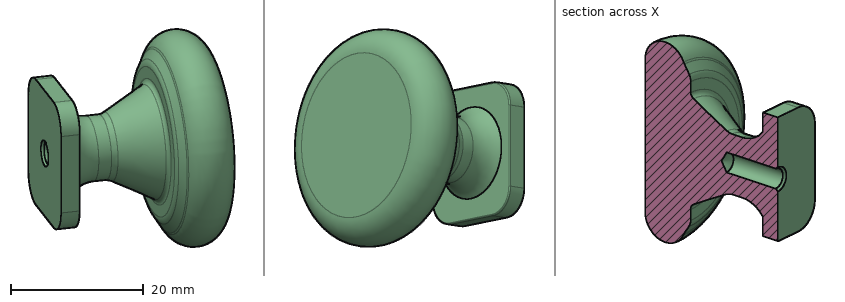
import cadquery as cq
import math

HEIGHT = 26.0

FOOT_WIDTH = 17.6
FOOT_LENGTH = 20.4
FOOT_THICKNESS = 3.0
FOOT_CORNER_RADIUS = 4.0
FOOT_EDGE_RADIUS = 0.2

NECK_RADIUS = 10.0 / 2
FLARE_HEIGHT = 4.0
FLARE_RADIUS = NECK_RADIUS
CONE_START = 9.5
CONE_TOP_RADIUS = 9.0
CONE_START_FILLET = 2.0
CONE_TOP_FILLET = 1.0

HEAD_RADIUS = 16.5
HEAD_BACK = 17.0
BACK_RADIUS = 12.0
RIM_RADIUS = 4.0
BEVEL_ANGLE = math.radians(33)
BEVEL_EDGE_FILLET = 2.0
BEVEL_RIM_FILLET = 2.5

HOLE_DIAMETER = 3.23
HOLE_MOUTH_DIAMETER = 4.0
HOLE_DEPTH = 10.0
HOLE_TIP_ANGLE = math.radians(118)

rim_center_radius = HEAD_RADIUS - RIM_RADIUS
rim_center_y = HEIGHT - RIM_RADIUS


def bevel_rim_point():
    """Point (radius, y) where the bevel line runs into the round rim."""
    across = rim_center_radius - BACK_RADIUS
    up = rim_center_y - HEAD_BACK
    line_distance = up * math.cos(BEVEL_ANGLE) - across * math.sin(BEVEL_ANGLE)
    angle = BEVEL_ANGLE - math.acos(line_distance / RIM_RADIUS)
    return (
        rim_center_radius + RIM_RADIUS * math.sin(angle),
        rim_center_y - RIM_RADIUS * math.cos(angle),
    )


def fillet_ring(body, ring_radius, fillet_radius, y):
    """Fillet the circular edge of the given radius at height y."""
    rings = [
        edge
        for edge in body.edges("%CIRCLE").vals()
        if math.isclose(edge.radius(), ring_radius, abs_tol=0.003)
        and math.isclose(edge.Center().y, y, abs_tol=0.003)
    ]
    return body.newObject(rings).fillet(fillet_radius)


def make_turned_body():
    flare_top = FOOT_THICKNESS + FLARE_HEIGHT
    flare_angle = math.asin(FLARE_HEIGHT / FLARE_RADIUS)

    def flare_point(angle):
        return (
            NECK_RADIUS + FLARE_RADIUS * (1 - math.cos(angle)),
            flare_top - FLARE_RADIUS * math.sin(angle),
        )

    bevel_end = bevel_rim_point()
    body = (
        cq.Workplane("XY")
        .moveTo(0, FOOT_THICKNESS)
        .lineTo(*flare_point(flare_angle))
        .threePointArc(flare_point(flare_angle / 2), (NECK_RADIUS, flare_top))
        .lineTo(NECK_RADIUS, CONE_START)
        .lineTo(CONE_TOP_RADIUS, HEAD_BACK)
        .lineTo(BACK_RADIUS, HEAD_BACK)
        .lineTo(*bevel_end)
        .threePointArc((HEAD_RADIUS, rim_center_y), (rim_center_radius, HEIGHT))
        .lineTo(0, HEIGHT)
        .close()
        .revolve(360, (0, 0), (0, 1))
    )
    body = fillet_ring(body, NECK_RADIUS, CONE_START_FILLET, CONE_START)
    body = fillet_ring(body, CONE_TOP_RADIUS, CONE_TOP_FILLET, HEAD_BACK)
    body = fillet_ring(body, BACK_RADIUS, BEVEL_EDGE_FILLET, HEAD_BACK)
    return fillet_ring(body, bevel_end[0], BEVEL_RIM_FILLET, bevel_end[1])


def make_foot():
    return (
        cq.Workplane("XY")
        .box(FOOT_WIDTH, FOOT_THICKNESS, FOOT_LENGTH)
        .translate((0, FOOT_THICKNESS / 2, 0))
        .edges("|Y")
        .fillet(FOOT_CORNER_RADIUS)
        .faces(">Y")
        .edges()
        .fillet(FOOT_EDGE_RADIUS)
    )


def make_screw_hole():
    hole_radius = HOLE_DIAMETER / 2
    mouth_radius = HOLE_MOUTH_DIAMETER / 2
    mouth_depth = mouth_radius - hole_radius
    tip_depth = hole_radius / math.tan(HOLE_TIP_ANGLE / 2)
    return (
        cq.Workplane("XY")
        .moveTo(0, 0)
        .lineTo(mouth_radius, 0)
        .lineTo(hole_radius, mouth_depth)
        .lineTo(hole_radius, HOLE_DEPTH)
        .lineTo(0, HOLE_DEPTH + tip_depth)
        .close()
        .revolve(360, (0, 0), (0, 1))
    )


result = make_turned_body().union(make_foot()).cut(make_screw_hole())